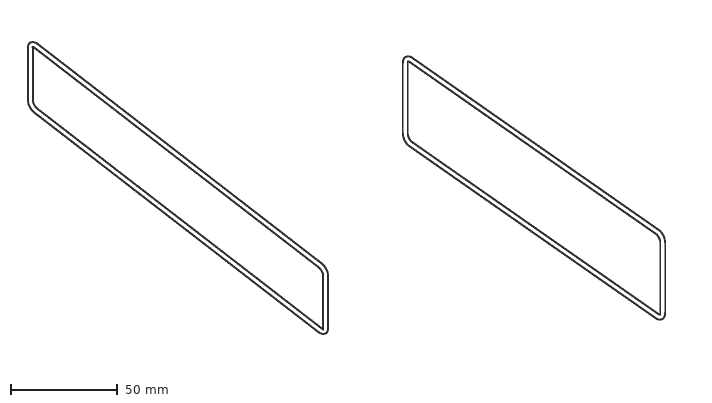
import cadquery as cq

outer_length = 199.4
outer_height = 49.5
wire_diameter = 2.4
outer_corner_radius = 5.2

wire_radius = wire_diameter / 2
half_length = (outer_length - wire_diameter) / 2
half_height = (outer_height - wire_diameter) / 2
bend_radius = outer_corner_radius - wire_radius

straight_x = half_length - bend_radius
straight_z = half_height - bend_radius

centerline = (
    cq.Workplane("XZ")
    .moveTo(0, -half_height)
    .lineTo(straight_x, -half_height)
    .radiusArc((half_length, -straight_z), -bend_radius)
    .lineTo(half_length, straight_z)
    .radiusArc((straight_x, half_height), -bend_radius)
    .lineTo(-straight_x, half_height)
    .radiusArc((-half_length, straight_z), -bend_radius)
    .lineTo(-half_length, -straight_z)
    .radiusArc((-straight_x, -half_height), -bend_radius)
    .close()
)

section = cq.Workplane("YZ").center(0, -half_height).circle(wire_radius)
result = section.sweep(centerline)